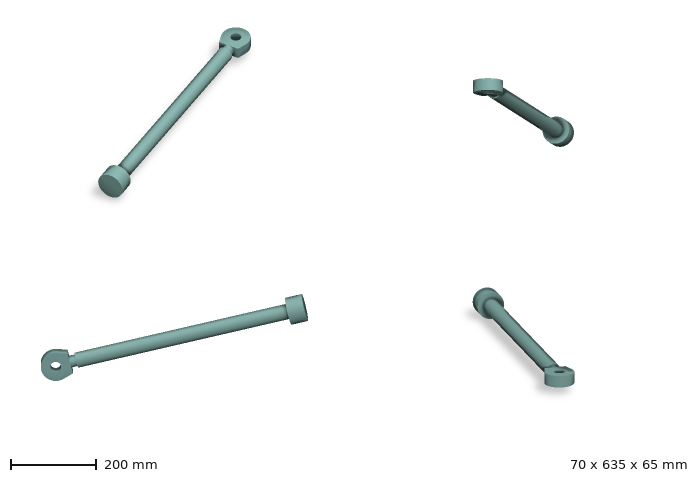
import cadquery as cq
import math

total_length = 635.0

cap_diameter = 65.0
cap_length = 40.0

rod_diameter = 36.0
neck_diameter = 28.0
neck_length = 15.0

eye_radius = 35.0
eye_thickness = 28.0
eye_hole_diameter = 25.5
eye_base_width = 51.0
eye_center_to_base = 35.0

eye_center_y = total_length - eye_radius
eye_base_y = eye_center_y - eye_center_to_base
rod_end_y = eye_base_y - neck_length


def cylinder_along_y(diameter, start_y, end_y):
    """Solid cylinder on the Y axis between two stations."""
    base = cq.Workplane("XZ", origin=(0, start_y, 0))
    return base.circle(diameter / 2).extrude(start_y - end_y)


def eye():
    """Round plate whose straight sides run tangentially down to a flat base."""
    half_base = eye_base_width / 2
    corner_distance = math.hypot(half_base, eye_center_to_base)

    corner_angle = math.atan2(half_base, eye_center_to_base)
    tangent_angle = corner_angle + math.acos(eye_radius / corner_distance)
    tangent_x = eye_radius * math.sin(tangent_angle)
    tangent_y = -eye_radius * math.cos(tangent_angle)

    plane = cq.Workplane("XY", origin=(0, eye_center_y, 0))
    plate = (
        plane.moveTo(-half_base, -eye_center_to_base)
        .lineTo(half_base, -eye_center_to_base)
        .lineTo(tangent_x, tangent_y)
        .threePointArc((0, eye_radius), (-tangent_x, tangent_y))
        .close()
        .extrude(eye_thickness / 2, both=True)
    )
    hole = plane.circle(eye_hole_diameter / 2).extrude(eye_thickness, both=True)
    return plate.cut(hole)


cap = cylinder_along_y(cap_diameter, 0, cap_length)
rod = cylinder_along_y(rod_diameter, cap_length, rod_end_y)
neck = cylinder_along_y(neck_diameter, rod_end_y, eye_base_y)

result = cap.union(rod).union(neck).union(eye())